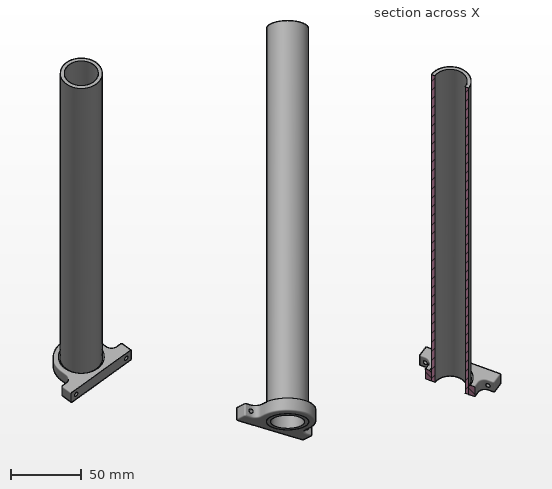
import cadquery as cq

tube_length = 300.0
tube_diameter = 29.7
bore_diameter = 24.0

bracket_height = 10.2
overall_x = 40.0
flange_width = 60.0
flange_thickness = 10.0
root_radius = 5.0
edge_round = 1.08
socket_diameter = 30.0
socket_chamfer = 1.2
screw_hole_diameter = 3.3
screw_spacing = 49.8

collar_radius = overall_x / 2
back_x = overall_x - collar_radius
flange_front_x = back_x - flange_thickness
half_width = flange_width / 2


def make_tube():
    """Plain straight tube standing on the base plane."""
    return (
        cq.Workplane("XY")
        .circle(tube_diameter / 2)
        .circle(bore_diameter / 2)
        .extrude(tube_length)
    )


def bracket_blank():
    """Collar and flange in one outline, with concave rounds where they join."""
    root_start_x = flange_front_x - root_radius
    root_end_y = collar_radius + root_radius
    return (
        cq.Workplane("XY")
        .moveTo(back_x, -half_width)
        .lineTo(back_x, half_width)
        .lineTo(flange_front_x, half_width)
        .lineTo(flange_front_x, root_end_y)
        .radiusArc((root_start_x, collar_radius), root_radius)
        .lineTo(0, collar_radius)
        .threePointArc((-collar_radius, 0), (0, -collar_radius))
        .lineTo(root_start_x, -collar_radius)
        .radiusArc((flange_front_x, -root_end_y), root_radius)
        .lineTo(flange_front_x, -half_width)
        .close()
        .extrude(bracket_height)
    )


def make_bracket():
    """Round-edged bracket with a through socket, countersunk on top, for the tube and two screw holes."""
    corners = bracket_blank().edges("|Z").edges("<Y or >Y").edges("<X")
    blank = corners.fillet(edge_round)
    rim = blank.faces("|Z").edges(cq.selectors.BoxSelector(
        (-overall_x, -flange_width, -bracket_height),
        (back_x - edge_round / 2, flange_width, 2 * bracket_height),
    ))
    bracket = rim.fillet(edge_round)

    socket = cq.Workplane("XY").circle(socket_diameter / 2).extrude(bracket_height)
    lead_in = (
        cq.Workplane("XY", origin=(0, 0, bracket_height))
        .circle(socket_diameter / 2 + socket_chamfer)
        .workplane(offset=-socket_chamfer)
        .circle(socket_diameter / 2)
        .loft()
    )
    bracket = bracket.cut(socket).cut(lead_in)

    screw_holes = (
        cq.Workplane("YZ")
        .pushPoints([(side * screw_spacing / 2, bracket_height / 2) for side in (-1, 1)])
        .circle(screw_hole_diameter / 2)
        .extrude(back_x)
    )
    return bracket.cut(screw_holes)


tube = make_tube()
bracket = make_bracket()

result = cq.Compound.makeCompound([tube.val(), bracket.val()])